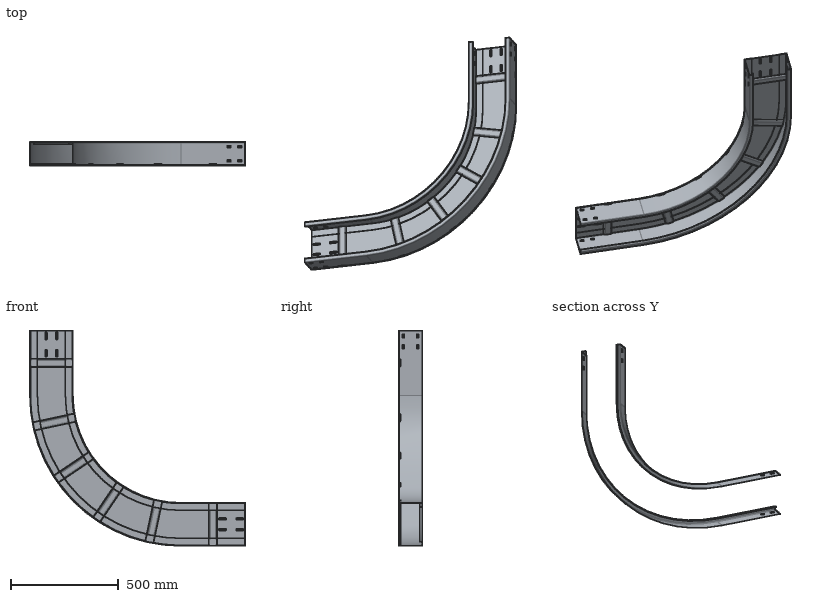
import cadquery as cq
import math

length = 1000.0
depth = 110.0
tray_width = 200.0
leg_length = 300.0
bend_centre = length - leg_length

sheet = 1.5
fold_radius = 3.0
flange_width = 35.0
lip_width = 20.0
lip_return = 12.0

floor_edge_gap = fold_radius
floor_bottom = sheet
floor_top = floor_bottom + sheet

rib_width = 38.0
rib_rise = 6.0
rib_crest_radius = 3.0
rib_end_distance = 150.0
bend_ribs = 4
rib_pitch_angle = 22.0
bend_middle_angle = 45.0

floor_slot_length = 32.0
floor_slot_width = 7.0
floor_slot_spacing = 50.0
floor_slot_end_distances = (25.0, 105.0)
wall_slot_length = 15.0
wall_slot_width = 7.0
wall_slot_spacing = 66.0
wall_slot_end_distances = (25.0, 75.0)

axis_start = cq.Vector(bend_centre, 0, bend_centre)
axis_end = cq.Vector(bend_centre, depth, bend_centre)


def around_bend(body, angle):
    """Turn a body about the bend axis, from the vertical leg towards the horizontal leg."""
    return body.rotate(axis_start, axis_end, -angle)


def on_horizontal_leg(body):
    """Mirror a body of the vertical leg onto the horizontal leg."""
    return around_bend(body.mirror("XY", cq.Vector(0, 0, bend_centre)), 90)


def sweep_elbow(profile):
    """Sweep a profile, lying at the lower end of the vertical leg, along the whole tray."""
    vertical_leg = cq.Solid.extrudeLinear(profile, cq.Vector(0, 0, leg_length))
    horizontal_leg = on_horizontal_leg(vertical_leg)
    bend = cq.Solid.revolve(profile, -90, axis_start, axis_end)
    return cq.Workplane(vertical_leg).union(cq.Workplane(bend)).union(cq.Workplane(horizontal_leg))


def flat_face(points):
    """Face through (X, Y) points in the plane where the vertical leg meets the bend."""
    corners = [cq.Vector(x, y, bend_centre) for x, y in points]
    return cq.Face.makeFromWires(cq.Wire.makePolygon(corners, close=True))


def round_corners(face, points, radius):
    """Round the corners of a flat face that lie at the given (X, Y) points."""
    corners = [cq.Vector(x, y, bend_centre) for x, y in points]
    chosen = [v for v in face.Vertices() if any((v.Center() - c).Length < sheet / 10 for c in corners)]
    return face.fillet2D(radius, chosen)


def wall_slots():
    """Square-cornered slots through both side walls, near the ends of both legs."""
    slot = cq.Workplane().box(2 * tray_width, wall_slot_width, wall_slot_length).val()
    cutters = []
    for end_distance in wall_slot_end_distances:
        for side in (-1, 1):
            y = depth / 2 + side * wall_slot_spacing / 2
            cutter = slot.translate(cq.Vector(tray_width / 2, y, length - end_distance))
            cutters += [cutter, on_horizontal_leg(cutter)]
    return cq.Workplane(cq.Compound.makeCompound(cutters))


def make_rail(wall_x, inward):
    """C-shaped side rail whose outer wall face is at wall_x on the vertical leg."""

    def place(points):
        return [(wall_x + inward * u, y) for u, y in points]

    outer_folds = [(0, 0), (0, depth), (lip_width, depth)]
    inner_folds = [(lip_width - sheet, depth - sheet), (sheet, depth - sheet), (sheet, sheet)]
    lip_end = [(lip_width, depth - lip_return), (lip_width - sheet, depth - lip_return)]
    outline = [(flange_width, 0)] + outer_folds + lip_end + inner_folds + [(flange_width, sheet)]

    profile = flat_face(place(outline))
    profile = round_corners(profile, place(outer_folds), fold_radius)
    profile = round_corners(profile, place(inner_folds), fold_radius - sheet)
    return sweep_elbow(profile).cut(wall_slots())


def floor_band(y_start, y_end):
    """Elbow-shaped slab between the rails."""
    x_start = floor_edge_gap
    x_end = tray_width - floor_edge_gap
    return sweep_elbow(flat_face([(x_start, y_start), (x_end, y_start), (x_end, y_end), (x_start, y_end)]))


def rib_bar(half_base, height, crest_radius):
    """Trapezoidal bar with a rounded crest, centred where the vertical leg meets the bend."""
    half_crest = half_base - height
    outline = [(floor_bottom, -half_base), (floor_bottom, half_base)]
    outline += [(floor_bottom + height, half_crest), (floor_bottom + height, -half_crest)]
    bar = cq.Workplane("YZ").polyline(outline).close().extrude(tray_width)
    bar = bar.faces(">Y").edges("|X").fillet(crest_radius).val()
    return bar.translate(cq.Vector(0, 0, bend_centre))


def at_every_rib(bar):
    """Copies of a bar at the rib of each leg and at the ribs spread around the bend."""
    leg_bar = bar.translate(cq.Vector(0, 0, leg_length - rib_end_distance))
    bars = [leg_bar, on_horizontal_leg(leg_bar)]
    first_angle = bend_middle_angle - (bend_ribs - 1) / 2 * rib_pitch_angle
    bars += [around_bend(bar, first_angle + i * rib_pitch_angle) for i in range(bend_ribs)]
    return cq.Workplane(cq.Compound.makeCompound(bars))


def floor_slots():
    """Round-ended slots through the floor, near the ends of both legs."""
    outline = cq.Workplane("XZ").slot2D(floor_slot_length, floor_slot_width, 90)
    slot = outline.extrude(depth, both=True).val()
    cutters = []
    for end_distance in floor_slot_end_distances:
        for side in (-1, 1):
            x = tray_width / 2 + side * floor_slot_spacing / 2
            cutter = slot.translate(cq.Vector(x, 0, length - end_distance))
            cutters += [cutter, on_horizontal_leg(cutter)]
    return cq.Workplane(cq.Compound.makeCompound(cutters))


def make_floor():
    """Floor plate with hollow cross ribs raised towards the open side."""
    groove = rib_bar(rib_width / 2, rib_rise, rib_crest_radius)
    hat = rib_bar(rib_width / 2 + sheet * math.sqrt(2), rib_rise + sheet, rib_crest_radius + sheet)
    hats = floor_band(floor_bottom, depth).intersect(at_every_rib(hat))
    plate = floor_band(floor_bottom, floor_top)
    return plate.union(hats).cut(at_every_rib(groove)).cut(floor_slots())


outer_rail = make_rail(0, 1)
inner_rail = make_rail(tray_width, -1)
floor_plate = make_floor()

result = cq.Compound.makeCompound([*outer_rail.solids().vals(), *inner_rail.solids().vals(), *floor_plate.solids().vals()])